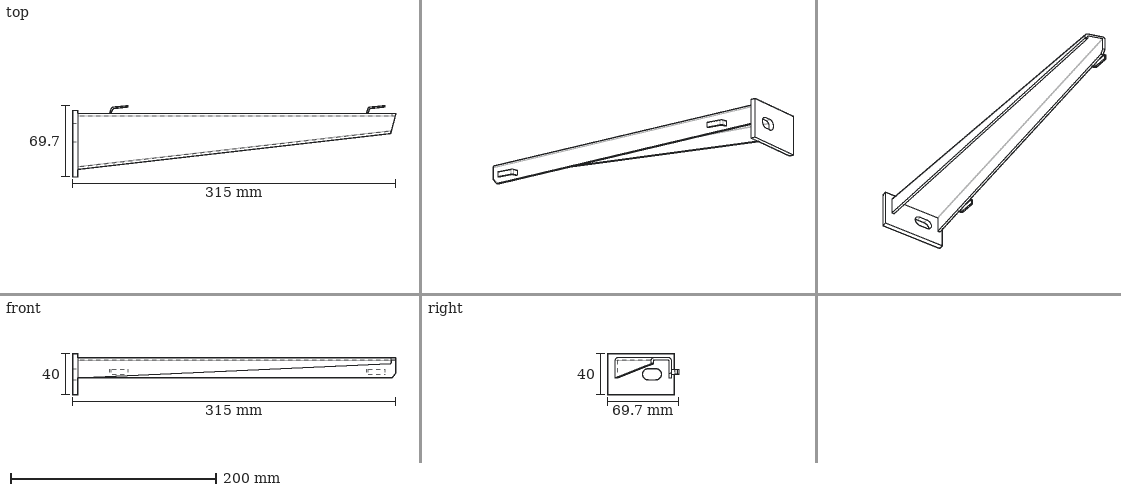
import cadquery as cq
import math

PLATE_THICKNESS = 5.0
PLATE_WIDTH = 65.0
PLATE_HEIGHT = 40.0

SLOT_LENGTH = 18.3
SLOT_HEIGHT = 10.7
SLOT_CENTER_Y = -21.7

ARM_END = 315.0
SHEET = 2.5
BEND_RADIUS = 2.8
INNER_BEND_RADIUS = BEND_RADIUS - SHEET
ARM_TOP = -3.8
ARM_HEIGHT = 20.0
ARM_BACK = -2.8
ARM_FRONT_AT_PLATE = -57.5
ARM_FRONT_AT_TIP = -22.7
TIP_SETBACK = 5.0
BACK_FLANGE_CHAMFER_X = 3.8
BACK_FLANGE_CHAMFER_Z = 5.0
FRONT_FLANGE_TIP_HEIGHT = 6.0
FRONT_FLANGE_CHAMFER = 0.5

TAB_START = 36.0
TAB_SPACING = 250.0
TAB_COUNT = 2
TAB_THICKNESS = 1.5
TAB_INNER_BEND = 1.0
TAB_OUTER_BEND = TAB_INNER_BEND + TAB_THICKNESS
TAB_TOP = -15.0
TAB_HEIGHT = 5.0
TAB_LEAN = 2.0
TAB_LENGTH = 18.0
TAB_REACH = 4.7
TAB_RISE = 1.5

ARM_BOTTOM = ARM_TOP - ARM_HEIGHT
TIP_FRONT_X = ARM_END - TIP_SETBACK


def make_plate():
    plate = cq.Workplane("XY").box(
        PLATE_THICKNESS, PLATE_WIDTH, PLATE_HEIGHT, centered=False
    ).translate((0, -PLATE_WIDTH, -PLATE_HEIGHT))
    slot = (
        cq.Workplane("YZ")
        .center(SLOT_CENTER_Y, -PLATE_HEIGHT / 2)
        .slot2D(SLOT_LENGTH, SLOT_HEIGHT)
        .extrude(PLATE_THICKNESS)
    )
    return plate.cut(slot)


def rounded_wedge(back, front_offset, top, radius, overrun):
    """Tapered block under the web outline, its two long upper edges rounded.

    overrun carries the block past the tip and the plate face along the taper.
    """
    slope = (ARM_FRONT_AT_TIP - ARM_FRONT_AT_PLATE) / (TIP_FRONT_X - PLATE_THICKNESS)
    start = PLATE_THICKNESS - overrun
    end = ARM_END + overrun

    def front_at(x):
        return ARM_FRONT_AT_PLATE + front_offset + slope * (x - PLATE_THICKNESS)

    return (
        cq.Workplane("XY", origin=(0, 0, ARM_BOTTOM - overrun))
        .polyline([(start, back), (end, back), (end, front_at(end)), (start, front_at(start))])
        .close()
        .extrude(top - ARM_BOTTOM + overrun)
        .faces(">Z").edges("not |Y")
        .fillet(radius)
    )


def make_channel():
    taper = math.atan2(ARM_FRONT_AT_TIP - ARM_FRONT_AT_PLATE, TIP_FRONT_X - PLATE_THICKNESS)
    outer = rounded_wedge(ARM_BACK, 0, ARM_TOP, BEND_RADIUS, 0)
    inner = rounded_wedge(
        ARM_BACK - SHEET, SHEET / math.cos(taper), ARM_TOP - SHEET, INNER_BEND_RADIUS, SHEET
    )
    return outer.cut(inner)


def tip_cut():
    """Everything beyond the slanted end of the arm."""
    return (
        cq.Workplane("XY", origin=(0, 0, ARM_BOTTOM))
        .polyline([
            (ARM_END, ARM_BACK),
            (TIP_FRONT_X, ARM_FRONT_AT_TIP),
            (TIP_FRONT_X, ARM_FRONT_AT_PLATE),
            (ARM_END, ARM_FRONT_AT_PLATE),
        ])
        .close()
        .extrude(ARM_HEIGHT)
    )


def back_flange_chamfer():
    lower_end = ARM_END - BACK_FLANGE_CHAMFER_X
    return (
        cq.Workplane("XZ", origin=(0, ARM_BACK, 0))
        .polyline([
            (lower_end, ARM_BOTTOM),
            (ARM_END, ARM_BOTTOM),
            (ARM_END, ARM_BOTTOM + BACK_FLANGE_CHAMFER_Z),
        ])
        .close()
        .extrude(SHEET)
    )


def front_flange_taper():
    """Wedge below the front flange, which grows shallower towards the tip."""
    tip_edge = ARM_TOP - FRONT_FLANGE_TIP_HEIGHT
    return (
        cq.Workplane("XZ", origin=(0, ARM_BACK - SHEET - INNER_BEND_RADIUS, 0))
        .polyline([
            (PLATE_THICKNESS, ARM_BOTTOM),
            (TIP_FRONT_X - FRONT_FLANGE_CHAMFER, tip_edge),
            (TIP_FRONT_X, tip_edge + FRONT_FLANGE_CHAMFER),
            (ARM_END, tip_edge + FRONT_FLANGE_CHAMFER),
            (ARM_END, ARM_BOTTOM),
        ])
        .close()
        .extrude(PLATE_WIDTH)
    )


def make_tab(start):
    """Stem leaning out of the back flange, then a hook running along the arm."""
    corner = start + TAB_LEAN
    hook_end = start + TAB_LENGTH
    hook_y = TAB_REACH - TAB_RISE
    tab = (
        cq.Workplane("XY", origin=(0, 0, TAB_TOP - TAB_HEIGHT))
        .polyline([
            (start, ARM_BACK),
            (corner, hook_y),
            (hook_end, TAB_REACH),
            (hook_end, TAB_REACH - TAB_THICKNESS),
            (corner + TAB_THICKNESS, hook_y - TAB_THICKNESS),
            (start + TAB_THICKNESS, ARM_BACK),
        ])
        .close()
        .extrude(TAB_HEIGHT)
    )
    outer_corner = cq.selectors.NearestToPointSelector((corner, hook_y, TAB_TOP - TAB_HEIGHT / 2))
    inner_corner = cq.selectors.NearestToPointSelector(
        (corner + TAB_THICKNESS, hook_y - TAB_THICKNESS, TAB_TOP - TAB_HEIGHT / 2)
    )
    tab = tab.edges("|Z").edges(inner_corner).fillet(TAB_INNER_BEND)
    return tab.edges("|Z").edges(outer_corner).fillet(TAB_OUTER_BEND)


def make_arm():
    arm = make_channel().cut(tip_cut()).cut(back_flange_chamfer()).cut(front_flange_taper())
    for index in range(TAB_COUNT):
        arm = arm.union(make_tab(TAB_START + index * TAB_SPACING))
    return arm


plate = make_plate()
arm = make_arm()

result = cq.Compound.makeCompound([plate.val(), *arm.vals()])